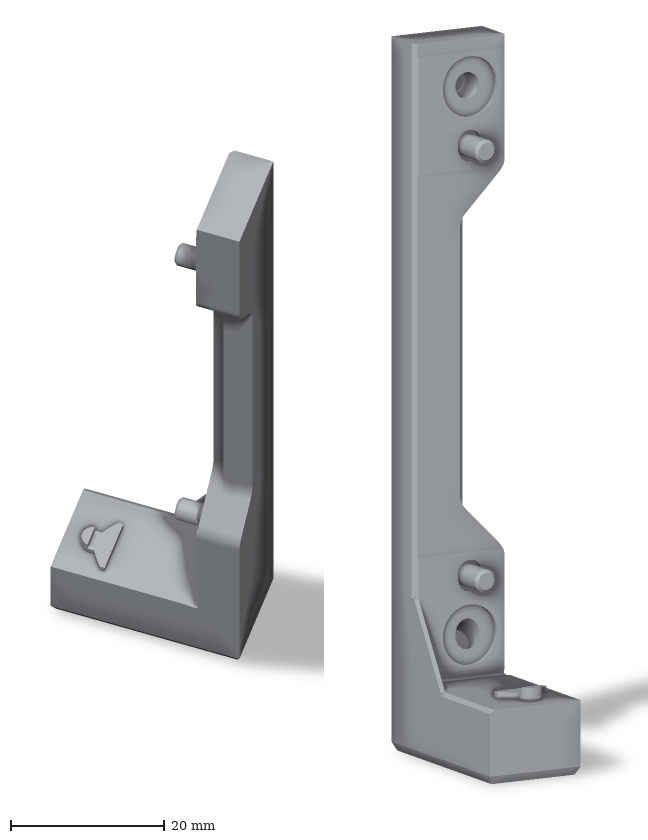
import cadquery as cq
import math

length_x = 26.0
width_y = 13.6
height_z = 95.0

foot_height = 10.0
post_thickness = 6.0
post_face_x = length_x - post_thickness

sole_bevel_height = 1.1
sole_bevel_inset = 0.6

hole_line_y = 5.2
post_centre_z = 52.1
hole_offset_z = 36.5
pin_offset_z = 28.6

window_half_height = 25.5
window_depth = 5.2
window_step_depth = 6.65
window_step_thickness = 2.0
window_fillet = 2.8

pad_rise = 0.1
pad_low_z = 11.9
pad_high_z = 93.2

relief_run = 1.7
relief_rise = 1.0
relief_floor_run = 1.4
relief_depth = 0.2

back_bevel = 0.7
foot_bevel_drop = 0.5
rib_reach = 7.0
rib_height = 11.2

spot_face_diameter = 8.1
spot_face_depth = 0.8
hole_diameter = 3.5
plain_hole_floor_diameter = 3.2
plain_hole_bevel = (hole_diameter - plain_hole_floor_diameter) / 2
plain_hole_depth = 3.8
angled_hole_tilt = 30.0
angled_hole_depth = 3.2

pin_diameter = 3.0
pin_reach = 4.4
pin_embed = 2.85
pin_bevel = 0.4
pin_slot_length = 4.2
pin_slot_width = 3.5
pin_slot_depth = 0.8

key_centre_x = 4.1
key_nose_radius = 1.5
key_nose_flat_x = 3.8
key_nose_height = 1.7
key_wing_height = 0.9
key_flare_start_x = 4.75
key_flare_mid = (5.3, 2.5)
key_tip_start_x = 6.3
key_end_x = 6.9
key_half_width = 3.7


def block(x0, x1, y0, y1, z0, z1):
    return cq.Workplane("XY").box(x1 - x0, y1 - y0, z1 - z0, centered=False).translate((x0, y0, z0))


def x_cylinder(diameter, x0, depth, z):
    """Cylinder along +X on the hole line."""
    plane = cq.Plane(origin=(x0, hole_line_y, z), xDir=(0, 1, 0), normal=(1, 0, 0))
    return cq.Workplane(plane).circle(diameter / 2).extrude(depth)


def l_body():
    """Foot and post, bevelled around the underside, with the corner relief groove."""
    profile = [
        (0, 0),
        (length_x, 0),
        (length_x, height_z),
        (post_face_x, height_z),
        (post_face_x, foot_height + relief_rise),
        (post_face_x + relief_depth, foot_height),
        (post_face_x - relief_run + relief_floor_run, foot_height - relief_depth),
        (post_face_x - relief_run, foot_height),
        (0, foot_height),
    ]
    body = cq.Workplane("XZ").polyline(profile).close().extrude(-width_y)
    return body.faces("<Z").chamfer(sole_bevel_inset, sole_bevel_height)


def window_cut(depth, x0, x1):
    """Trapezoid cut from the front side, with its floor corners rounded."""
    low = post_centre_z - window_half_height
    high = post_centre_z + window_half_height
    outline = [
        (0, low),
        (depth, low + depth),
        (depth, high - depth),
        (0, high),
    ]
    cut = cq.Workplane("YZ").polyline(outline).close().extrude(x1 - x0).translate((x0, 0, 0))
    return cut.edges("|X and >Y").fillet(window_fillet)


def round_window_mouth(body):
    """Round the two outer corners where the window meets the front side."""
    margin = 0.1
    for side in (-1, 1):
        z = post_centre_z + side * window_half_height
        corner = cq.selectors.BoxSelector(
            (post_face_x, -margin, z - margin), (length_x, margin, z + margin)
        )
        body = body.edges("|X").edges(corner).fillet(window_fillet)
    return body


def pad_relief():
    """Shallow cuts that leave the two pads standing on the post face."""
    bands = [
        (foot_height + relief_rise, pad_low_z),
        (post_centre_z - window_half_height, post_centre_z + window_half_height),
        (pad_high_z, height_z),
    ]
    return [block(post_face_x, post_face_x + pad_rise, 0, width_y, low, high) for low, high in bands]


def back_rib():
    """Thin triangular rib between foot and post, flush with the back side."""
    outline = [
        (post_face_x - rib_reach, foot_height),
        (post_face_x, foot_height + rib_height),
        (post_face_x + back_bevel, foot_height + rib_height),
        (post_face_x + back_bevel, foot_height - foot_bevel_drop),
        (post_face_x - rib_reach, foot_height - foot_bevel_drop),
    ]
    rib = cq.Workplane("XZ").polyline(outline).close().extrude(-back_bevel)
    return rib.translate((0, width_y - back_bevel, 0))


def back_bevels():
    """Bevels along the back edges of the post face and of the foot top."""
    post_bevel = (
        cq.Workplane("XY", origin=(0, 0, foot_height))
        .polyline([
            (post_face_x, width_y - back_bevel),
            (post_face_x + back_bevel, width_y),
            (post_face_x, width_y),
        ])
        .close()
        .extrude(height_z - foot_height)
    )
    foot_bevel = (
        cq.Workplane("YZ")
        .polyline([
            (width_y - back_bevel, foot_height),
            (width_y, foot_height),
            (width_y, foot_height - foot_bevel_drop),
        ])
        .close()
        .extrude(post_face_x)
    )
    return post_bevel, foot_bevel


def plain_hole():
    """Blind hole in the middle of the upper spot face, narrowing just above its floor."""
    z = post_centre_z + hole_offset_z
    floor_x = post_face_x + spot_face_depth
    hole = x_cylinder(hole_diameter, floor_x, plain_hole_depth, z)
    return hole.faces(">X").chamfer(plain_hole_bevel)


def angled_hole():
    """Blind hole that runs downwards into the post from the lower spot face."""
    tilt = math.radians(angled_hole_tilt)
    mouth = (post_face_x + spot_face_depth, hole_line_y, post_centre_z - hole_offset_z)
    axis = (math.cos(tilt), 0, -math.sin(tilt))
    plane = cq.Plane(origin=mouth, xDir=(0, 1, 0), normal=axis)
    overrun = hole_diameter * math.tan(tilt)
    return (
        cq.Workplane(plane)
        .workplane(offset=-overrun)
        .circle(hole_diameter / 2)
        .extrude(overrun + angled_hole_depth)
    )


def pin_slot(z):
    """Shallow slot around the root of a pin."""
    plane = cq.Plane(origin=(post_face_x, hole_line_y, z), xDir=(0, 0, 1), normal=(1, 0, 0))
    return cq.Workplane(plane).slot2D(pin_slot_length, pin_slot_width).extrude(pin_slot_depth)


def key():
    """Raised key on the foot: a flared wing lowered behind a taller rounded nose."""
    mid_x, mid_y = key_flare_mid
    outline = (
        cq.Workplane("XY", origin=(0, hole_line_y, foot_height))
        .moveTo(key_centre_x, key_nose_radius)
        .lineTo(key_flare_start_x, key_nose_radius)
        .threePointArc((mid_x, mid_y), (key_tip_start_x, key_half_width))
        .lineTo(key_end_x, key_half_width)
        .lineTo(key_end_x, -key_half_width)
        .lineTo(key_tip_start_x, -key_half_width)
        .threePointArc((mid_x, -mid_y), (key_flare_start_x, -key_nose_radius))
        .lineTo(key_centre_x, -key_nose_radius)
        .threePointArc((key_centre_x - key_nose_radius, 0), (key_centre_x, key_nose_radius))
        .close()
    )
    above_wing = block(
        key_nose_flat_x, post_face_x, 0, width_y, foot_height + key_wing_height, height_z
    )
    return outline.extrude(key_nose_height).cut(above_wing)


def make_bracket():
    body = l_body()
    body = body.cut(window_cut(window_depth, post_face_x, length_x))
    body = round_window_mouth(body)
    body = body.cut(window_cut(window_step_depth, post_face_x, post_face_x + window_step_thickness))
    for cutter in (*pad_relief(), *back_bevels()):
        body = body.cut(cutter)
    body = body.union(back_rib())
    for side in (-1, 1):
        hole_z = post_centre_z + side * hole_offset_z
        pin_z = post_centre_z + side * pin_offset_z
        body = body.cut(x_cylinder(spot_face_diameter, post_face_x, spot_face_depth, hole_z))
        body = body.cut(pin_slot(pin_z))
        body = body.cut(x_cylinder(pin_diameter, post_face_x, pin_embed, pin_z))
    body = body.cut(plain_hole())
    body = body.cut(angled_hole())
    return body.union(key())


def make_pin(z):
    pin = x_cylinder(pin_diameter, post_face_x - pin_reach, pin_reach + pin_embed, z)
    return pin.faces("<X").chamfer(pin_bevel)


bracket = make_bracket()
pins = [make_pin(post_centre_z + side * pin_offset_z) for side in (-1, 1)]

result = cq.Compound.makeCompound([bracket.val(), *[pin.val() for pin in pins]])